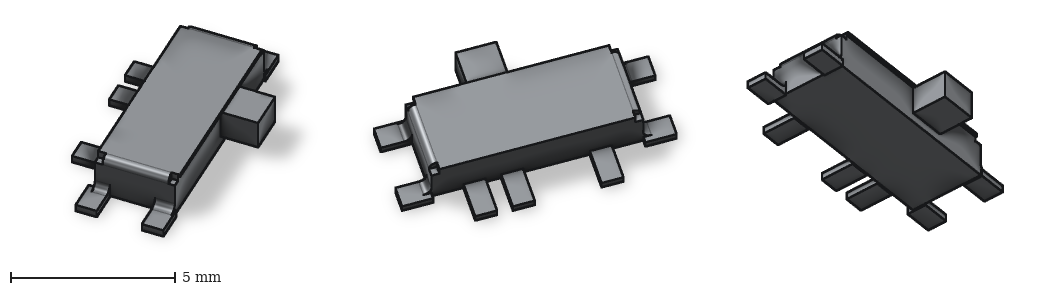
import cadquery as cq


total_length = 8.75
total_height = 1.5

tab_length = 1.0
housing_length = total_length - 2 * tab_length
housing_width = 2.66
standoff = 0.05
cover_width = 2.71
cover_thickness = 0.1
end_step = 0.25
cover_length = housing_length - 2 * end_step
shoulder_height = total_height - end_step

roll_start = 0.25
roll_end = 2.44

lead_width = 0.7
lead_thickness = 0.25
pin_length = 1.2
pin_centers = (-2.02, 0.805, 2.0)
left_tab_start = -0.2
right_tab_start = 1.995
tab_spans = (
    (left_tab_start, left_tab_start + lead_width),
    (right_tab_start, cover_width),
)
tab_fillet = 0.25

knob_end = 3.9
knob_width = 1.3
knob_center = 0.75
knob_bottom = 0.4
knob_top = total_height - cover_thickness


def block(x_start, x_end, y_start, y_end, z_start, z_end):
    """Box spanning the given limits."""
    size = (x_end - x_start, y_end - y_start, z_end - z_start)
    return cq.Workplane("XY").box(*size, centered=False).translate((x_start, y_start, z_start))


def make_housing():
    """Full-length lower body, shorter upper body and thin overhanging cover."""
    half = housing_length / 2
    half_cover = cover_length / 2
    lower = block(0, housing_width, -half, half, standoff, shoulder_height)
    upper = block(0, housing_width, -half_cover, half_cover, standoff, total_height)
    cover = block(0, cover_width, -half_cover, half_cover, knob_top, total_height)
    return lower.union(upper).union(cover)


def make_roll():
    """Quarter-round bar in the step at the +Y end."""
    return (
        cq.Workplane("YZ", origin=(roll_start, 0, 0))
        .moveTo(cover_length / 2, shoulder_height)
        .lineTo(housing_length / 2, shoulder_height)
        .radiusArc((cover_length / 2, total_height), -end_step)
        .close()
        .extrude(roll_end - roll_start)
    )


def make_tab(x_start, x_end):
    """Mounting tab at the +Y end with a concave fillet up the housing wall."""
    wall = housing_length / 2
    tab = block(x_start, x_end, wall, total_length / 2, 0, lead_thickness)
    fillet_start = max(x_start, 0)
    fillet_end = min(x_end, housing_width)
    fillet = (
        cq.Workplane("YZ", origin=(fillet_start, 0, 0))
        .moveTo(wall, lead_thickness)
        .lineTo(wall + tab_fillet, lead_thickness)
        .radiusArc((wall, lead_thickness + tab_fillet), tab_fillet)
        .close()
        .extrude(fillet_end - fillet_start)
    )
    return tab.union(fillet)


def make_pin(y_center):
    """Flat contact pin on the -X side."""
    half = lead_width / 2
    return block(-pin_length, 0, y_center - half, y_center + half, 0, lead_thickness)


def make_knob():
    """Slider knob on the +X side, directly under the cover level."""
    half = knob_width / 2
    return block(housing_width, knob_end, knob_center - half, knob_center + half, knob_bottom, knob_top)


result = make_housing().union(make_knob())

end_parts = make_roll()
for span in tab_spans:
    end_parts = end_parts.union(make_tab(*span))
result = result.union(end_parts).union(end_parts.mirror("XZ"))

for center in pin_centers:
    result = result.union(make_pin(center))